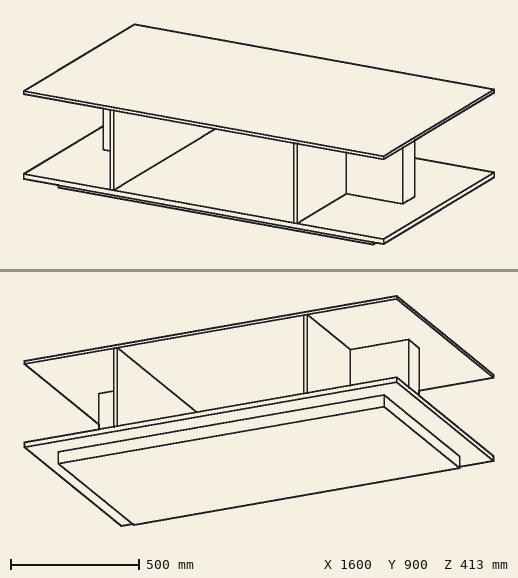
import cadquery as cq

table_length = 1600.0
table_width = 900.0
table_height = 413.0
top_thickness = 13.0
shelf_thickness = 20.0

plinth_length = 1400.0
plinth_width = 700.0
plinth_height = 50.0

panel_spacing = 800.0
panel_thickness = 16.0
block_length = 250.0
block_width = 100.0

shelf_bottom = plinth_height
shelf_top = shelf_bottom + shelf_thickness
top_bottom = table_height - top_thickness
upright_height = top_bottom - shelf_top
panel_center_x = (panel_spacing + panel_thickness) / 2
block_center_x = panel_spacing / 2 + panel_thickness + block_length / 2


def make_box(length, width, height, center_x, bottom_z):
    """Box centred on center_x and on Y = 0, standing on bottom_z."""
    box = cq.Workplane("XY").box(length, width, height, centered=(True, True, False))
    return box.translate((center_x, 0, bottom_z)).val()


def make_plinth():
    return make_box(plinth_length, plinth_width, plinth_height, 0, 0)


def make_shelf():
    return make_box(table_length, table_width, shelf_thickness, 0, shelf_bottom)


def make_top():
    return make_box(table_length, table_width, top_thickness, 0, top_bottom)


def make_panel(side):
    return make_box(panel_thickness, table_width, upright_height, side * panel_center_x, shelf_top)


def make_block(side):
    return make_box(block_length, block_width, upright_height, side * block_center_x, shelf_top)


plinth = make_plinth()
shelf = make_shelf()
table_top = make_top()

end_sides = (-1, 1)
panels = [make_panel(side) for side in end_sides]
blocks = [make_block(side) for side in end_sides]

result = cq.Compound.makeCompound([plinth, shelf, table_top, *panels, *blocks])